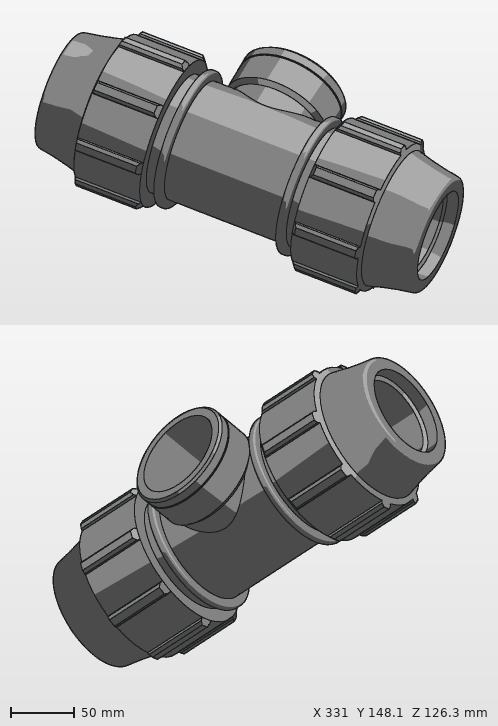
import cadquery as cq
import math

length = 331.0
half_length = length / 2

body_radius = 100.5 / 2
collar_radius = 116.5 / 2
collar_start = 109.0
collar_width = 6.3
collar_round = 2.0

sleeve_tip_radius = 49.0
sleeve_middle_radius = 52.3
sleeve_base_radius = 57.3
sleeve_round = 3.3

nut_start = 39.7
nut_end = 99.3
nut_radius = 62.4
rib_count = 8
rib_top_radius = 67.0
rib_top_half_width = 3.3
rib_shoulder_radius = 64.2
rib_base_half_width = 5.45
rib_front_bevel = 3.3
rib_rear_bevel = 3.5

mouth_radius = 75.0 / 2
mouth_depth = 10.0
mouth_taper = 1.5
bore_radius = 67.5 / 2

branch_end = 84.9
branch_radius = 90.5 / 2
branch_neck_radius = 41.5
branch_bore_radius = 72.0 / 2
branch_end_bevel = 2.0
branch_line_offset = 9.3
branch_line_width = 1.0
branch_line_depth = 0.3


def ring(start, end, radius):
    """Solid cylinder along X between two distances from the left end."""
    return cq.Workplane("YZ", origin=(start, 0, 0)).circle(radius).extrude(end - start)


def turned(profile):
    """Solid of revolution about X from a closed list of (distance, radius) points."""
    return cq.Workplane("XY").polyline(profile).close().revolve(360, (0, 0, 0), (1, 0, 0))


def sleeve():
    """Solid sleeve whose wall flares outward in a shallow hollow curve."""
    profile = (
        cq.Workplane("XY")
        .lineTo(0, sleeve_tip_radius)
        .threePointArc((nut_start / 2, sleeve_middle_radius), (nut_start, sleeve_base_radius))
        .lineTo(nut_start, 0)
        .close()
    )
    return profile.revolve(360, (0, 0, 0), (1, 0, 0)).faces("<X").edges().fillet(sleeve_round)


def nut():
    """Nut with straight ribs; the ribs are bevelled at both ends."""
    rib_outline = [
        (0, -rib_base_half_width),
        (rib_shoulder_radius, -rib_base_half_width),
        (rib_top_radius, -rib_top_half_width),
        (rib_top_radius, rib_top_half_width),
        (rib_shoulder_radius, rib_base_half_width),
        (0, rib_base_half_width),
    ]
    pitch = 360 / rib_count
    blank = ring(nut_start, nut_end, nut_radius)
    rib_plane = cq.Workplane("YZ", origin=(nut_start, 0, 0))
    rib = rib_plane.polyline(rib_outline).close().extrude(nut_end - nut_start)
    for index in range(rib_count):
        blank = blank.union(rib.rotate((0, 0, 0), (1, 0, 0), (index + 0.5) * pitch))

    rib_corner_radius = math.hypot(rib_top_radius, rib_top_half_width)
    envelope = [
        (nut_start, 0),
        (nut_start, sleeve_base_radius),
        (nut_start + rib_front_bevel, rib_corner_radius),
        (nut_end - rib_rear_bevel, rib_corner_radius),
        (nut_end, nut_radius),
        (nut_end, 0),
    ]
    return blank.intersect(turned(envelope))


def collar():
    """Thin collar with a rounded rim."""
    return ring(collar_start, collar_start + collar_width, collar_radius).edges().fillet(collar_round)


def branch():
    """Solid branch: narrow neck, short cone, then the full-width socket with a fine groove."""
    line_end = branch_end - branch_line_offset
    line_start = line_end - branch_line_width
    line_radius = branch_radius - branch_line_depth
    shoulder = body_radius
    neck_end = shoulder - (branch_radius - branch_neck_radius)
    profile = [
        (0, 0),
        (branch_neck_radius, 0),
        (branch_neck_radius, neck_end),
        (branch_radius, shoulder),
        (branch_radius, line_start),
        (line_radius, line_start),
        (line_radius, line_end),
        (branch_radius, line_end),
        (branch_radius, branch_end - branch_end_bevel),
        (branch_radius - branch_end_bevel, branch_end),
        (0, branch_end),
    ]
    solid = cq.Workplane("XY").polyline(profile).close().revolve(360, (0, 0, 0), (0, 1, 0))
    return solid.translate((half_length, 0, 0))


def mouth():
    """Wider start of the run bore, with a short taper down to the bore."""
    taper_end = mouth_depth + mouth_taper
    profile = [
        (0, 0),
        (0, mouth_radius),
        (mouth_depth, mouth_radius),
        (taper_end, bore_radius),
        (taper_end, 0),
    ]
    return turned(profile)


end_group = sleeve().union(nut()).union(collar())
body = ring(nut_start, length - nut_start, body_radius)
far_end_group = end_group.mirror("YZ", (half_length, 0, 0))
outside = body.union(end_group).union(far_end_group).union(branch())

mouths = mouth().union(mouth().mirror("YZ", (half_length, 0, 0)))
run_bore = ring(0, length, bore_radius).union(mouths)
branch_bore = cq.Workplane("XZ", origin=(half_length, 0, 0)).circle(branch_bore_radius).extrude(-branch_end)

result = outside.cut(run_bore).cut(branch_bore).translate((-half_length, 0, 0))